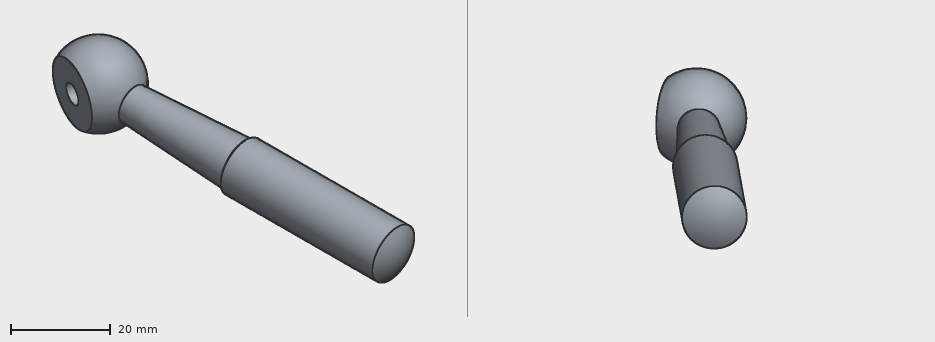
import cadquery as cq
import math

ball_radius = 10.0
seat_offset = 6.0

tilt = 20.0
stem_root_radius = 4.3
stem_root_position = math.sqrt(ball_radius**2 - stem_root_radius**2)
shoulder_fillet = 0.7
grip_start = 37.8
grip_radius = 6.5
grip_end = 77.9
dome_height = 2.0

hole_radius = 2.5
hole_depth = 7.5
point_angle = 118.0
overcut = 0.9


def make_handle():
    """Revolve the tapered stem, concave shoulder, grip and domed end as one body."""
    stem_end = grip_start - shoulder_fillet
    stem_end_radius = grip_radius - shoulder_fillet
    diagonal = shoulder_fillet * math.sqrt(0.5)
    shoulder_middle = (stem_end + diagonal, grip_radius - diagonal)
    dome_radius = (grip_radius**2 + dome_height**2) / (2 * dome_height)
    half_arc = math.asin(grip_radius / dome_radius) / 2
    tip = grip_end + dome_height
    arc_middle = (
        tip - dome_radius * (1 - math.cos(half_arc)),
        dome_radius * math.sin(half_arc),
    )
    return (
        cq.Workplane("XY")
        .lineTo(0, stem_root_radius)
        .lineTo(stem_root_position, stem_root_radius)
        .lineTo(stem_end, stem_end_radius)
        .threePointArc(shoulder_middle, (grip_start, grip_radius))
        .lineTo(grip_end, grip_radius)
        .threePointArc(arc_middle, (tip, 0))
        .close()
        .revolve(360, (0, 0, 0), (1, 0, 0))
        .rotate((0, 0, 0), (0, 0, 1), tilt)
    )


def cut_seat(body):
    """Remove everything on the -Y side of the flat seat."""
    size = 2 * ball_radius + overcut
    waste = cq.Workplane("XY").box(size, size, size)
    return body.cut(waste.translate((0, -seat_offset - size / 2, 0)))


def make_hole():
    """Revolve the hole about Y, from outside the seat to its conical tip."""
    point_length = hole_radius / math.tan(math.radians(point_angle / 2))
    hole_bottom = hole_depth - seat_offset
    mouth = -seat_offset - overcut
    return (
        cq.Workplane("XY")
        .moveTo(0, mouth)
        .lineTo(hole_radius, mouth)
        .lineTo(hole_radius, hole_bottom)
        .lineTo(0, hole_bottom + point_length)
        .close()
        .revolve(360, (0, 0, 0), (0, 1, 0))
    )


ball = cut_seat(cq.Workplane("XY").sphere(ball_radius))
result = ball.union(make_handle()).cut(make_hole())